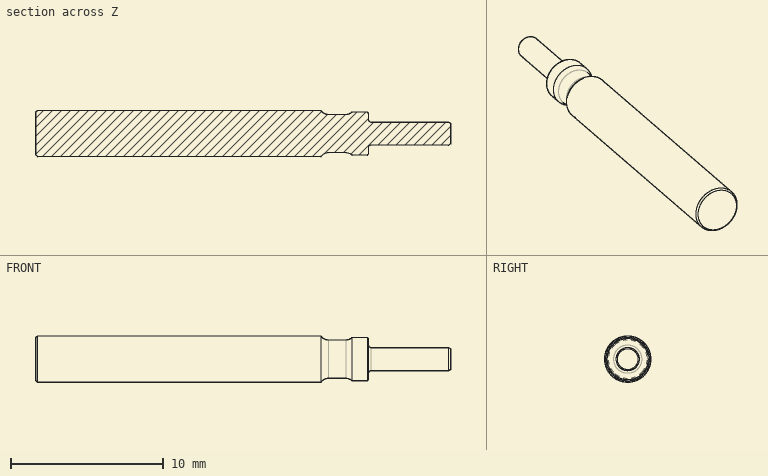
import cadquery as cq
import math

body_diameter = 3.05
neck_diameter = 2.52
collar_diameter = 2.85
pin_diameter = 1.52

total_length = 27.15
body_start = -total_length / 2
body_end = body_start + 18.65
collar_end = body_start + 21.77
pin_end = body_start + total_length

neck_length = 1.15
neck_blend_radius = 0.6
body_chamfer = 0.1
collar_chamfer = 0.08
pin_root_radius = 0.15
pin_tip_chamfer_length = 0.14
pin_tip_chamfer_depth = 0.08

body_radius = body_diameter / 2
neck_radius = neck_diameter / 2
collar_radius = collar_diameter / 2
pin_radius = pin_diameter / 2


def blend_length(outer_radius):
    """Axial length of the arc rising tangentially from the neck to outer_radius."""
    rise = outer_radius - neck_radius
    return math.sqrt(2 * neck_blend_radius * rise - rise**2)


neck_start = body_end + blend_length(body_radius)
neck_end = neck_start + neck_length
collar_start = neck_end + blend_length(collar_radius)

profile = (
    cq.Workplane("XY")
    .moveTo(body_start, 0)
    .lineTo(body_start, body_radius - body_chamfer)
    .lineTo(body_start + body_chamfer, body_radius)
    .lineTo(body_end, body_radius)
    .radiusArc((neck_start, neck_radius), -neck_blend_radius)
    .lineTo(neck_end, neck_radius)
    .radiusArc((collar_start, collar_radius), -neck_blend_radius)
    .lineTo(collar_end - collar_chamfer, collar_radius)
    .lineTo(collar_end, collar_radius - collar_chamfer)
    .lineTo(collar_end, pin_radius + pin_root_radius)
    .radiusArc((collar_end + pin_root_radius, pin_radius), -pin_root_radius)
    .lineTo(pin_end - pin_tip_chamfer_length, pin_radius)
    .lineTo(pin_end, pin_radius - pin_tip_chamfer_depth)
    .lineTo(pin_end, 0)
    .close()
)

result = profile.revolve(360, (0, 0, 0), (1, 0, 0))